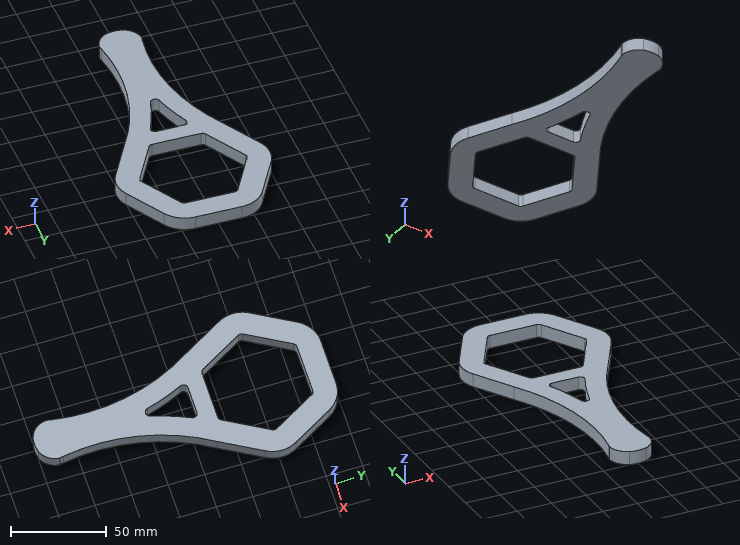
import cadquery as cq
import math

length = 160.9
thickness = 7.7

ring_apothem = 39.0
opening_apothem = 25.9
ring_corner_radius = 16.5
opening_corner_radius = 2.4

waist_half_width = 9.7
flank_radius = 110.0
ring_side_angle = math.radians(30)
flank_center_x = waist_half_width + flank_radius
flank_center_y = -(
    ring_apothem + flank_radius - flank_center_x * math.cos(ring_side_angle)
) / math.sin(ring_side_angle)
handle_top_y = -(ring_apothem - ring_corner_radius * math.sin(ring_side_angle))

end_y = ring_apothem - length
end_shoulder_y = -109.7
end_widest = (11.7, -111.7)
end_corner_mid = (9.5, -117.8)
end_arc_half_width = 4.7
end_arc_rise = 0.6

window_wall = 11.5
window_top_y = -35.5
window_corner_radius = 2.4


def hexagon(apothem, corner_radius):
    """Hexagonal prism with flat top and bottom sides and rounded corners."""
    diameter = 2 * apothem / math.cos(math.radians(30))
    return (
        cq.Workplane("XY")
        .polygon(6, diameter)
        .extrude(thickness)
        .edges("|Z")
        .fillet(corner_radius)
    )


def flank_x(y, radius):
    """X on the right-hand flank circle of the given radius at height y."""
    return flank_center_x - math.sqrt(radius**2 - (y - flank_center_y) ** 2)


def flank_y_at_axis(radius):
    """Upper height at which a flank circle crosses the part axis."""
    return flank_center_y + math.sqrt(radius**2 - flank_center_x**2)


def mirrored(point):
    return (-point[0], point[1])


def make_ring():
    """Filled rounded hexagon, cut off straight where the handle takes over."""
    kept_height = ring_apothem - handle_top_y
    kept_area = (
        cq.Workplane("XY")
        .center(0, handle_top_y + kept_height / 2)
        .rect(length, kept_height)
        .extrude(thickness)
    )
    return hexagon(ring_apothem, ring_corner_radius).intersect(kept_area)


def make_handle():
    top_x = (ring_apothem + handle_top_y * math.sin(ring_side_angle)) / math.cos(ring_side_angle)
    top = (top_x, handle_top_y)
    waist = (waist_half_width, flank_center_y)
    shoulder = (flank_x(end_shoulder_y, flank_radius), end_shoulder_y)
    end_arc_start = (end_arc_half_width, end_y + end_arc_rise)
    return (
        cq.Workplane("XY")
        .moveTo(*mirrored(top))
        .lineTo(*top)
        .threePointArc(waist, shoulder)
        .lineTo(*end_widest)
        .threePointArc(end_corner_mid, end_arc_start)
        .threePointArc((0, end_y), mirrored(end_arc_start))
        .threePointArc(mirrored(end_corner_mid), mirrored(end_widest))
        .lineTo(*mirrored(shoulder))
        .threePointArc(mirrored(waist), mirrored(top))
        .close()
        .extrude(thickness)
    )


def make_window():
    radius = flank_radius + window_wall
    tip_y = flank_y_at_axis(radius)
    middle_y = (window_top_y + tip_y) / 2
    corner = (flank_x(window_top_y, radius), window_top_y)
    middle = (flank_x(middle_y, radius), middle_y)
    return (
        cq.Workplane("XY")
        .moveTo(*mirrored(corner))
        .lineTo(*corner)
        .threePointArc(middle, (0, tip_y))
        .threePointArc(mirrored(middle), mirrored(corner))
        .close()
        .extrude(thickness)
        .edges("|Z")
        .fillet(window_corner_radius)
    )


opening = hexagon(opening_apothem, opening_corner_radius)
result = make_ring().union(make_handle()).cut(opening).cut(make_window())